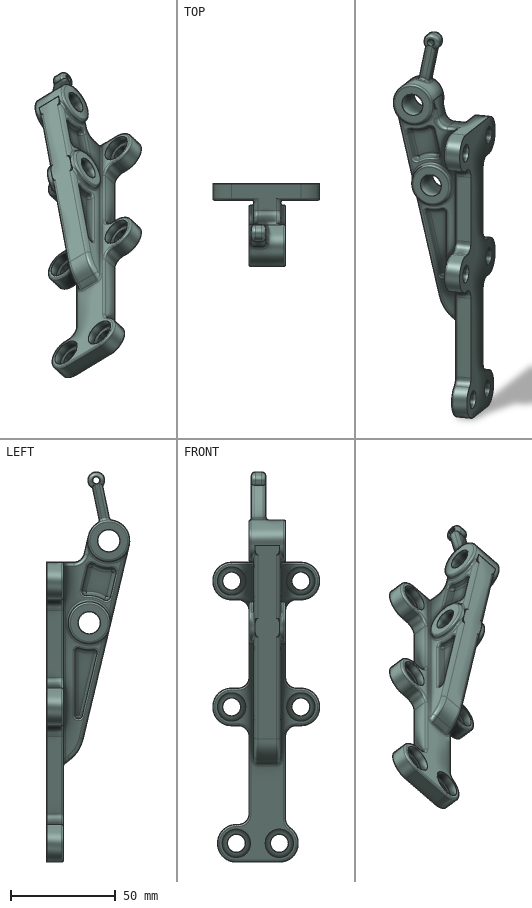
import cadquery as cq
import math

PLATE_THICK = 8.0
PLATE_TOP = 143.0
STRIP_WIDTH = 17.5
AXIS_X = 0.5
LUG_DIA = 18.0
LUG_BLEND = 5.0
PLATE_EDGE_ROUND = 1.0
WIDE_PITCH = 33.0
FOOT_LEFT, FOOT_RIGHT = -14.25, 6.25
FOOT_Z = LUG_DIA / 2
MIDDLE_Z = FOOT_Z + 65.0
UPPER_Z = PLATE_TOP - LUG_DIA / 2
LUG_ROWS = [
    (FOOT_LEFT, FOOT_RIGHT, FOOT_Z),
    (-WIDE_PITCH / 2, WIDE_PITCH / 2, MIDDLE_Z),
    (-WIDE_PITCH / 2, WIDE_PITCH / 2, UPPER_Z),
]
SCREW_DIA = 8.5
SCREW_SEAT_DIA = 13.5
SCREW_SEAT_DEPTH = 4.0

BOSS_R = 10.0
BOSS_WIDTH = 17.5
BOSS_BORE = 10.5
BOSS_ROUND = 1.0
BOSS_ROOT_ROUND = 1.0
HUB_R = BOSS_R + BOSS_ROOT_ROUND
HUB_WIDTH = 12.0
HUB_ROUND = 1.5
BOSS_PITCH = 40.2
LEAN = math.radians(13.4)
TOP_BOSS = (-29.57, 153.2)

RIB_WIDTH = 13.0
RIB_HALF_DEPTH = BOSS_R + 0.01
RIB_EDGE_ROUND = 2.0
RIB_ROOT_ROUND = 1.0
RIB_BACK_BLEND = 5.0
RIB_HEEL_ROUND = 18.0
RIB_HEEL_Z = 52.8
RIB_TOE_Z = 46.4
RIB_ROOT_Y = -PLATE_THICK / 2

POCKET_DEPTH = 3.1
POCKET_HALF_WIDTH = 7.0
POCKET_BOSS_GAP_R = 13.0
POCKET_CORNER = 2.1
POCKET_FLOOR_ROUND = 2.0
POCKET_RIM_ROUND = 0.9
LOWER_POCKET_BACK_Y = -13.4
LOWER_POCKET_BOTTOM_Z = 68.4
LOWER_POCKET_CORNER = 1.5
LOWER_POCKET_FLOOR_ROUND = 1.45

EYE_CENTRE = (-23.6, 182.0)
EYE_R = 4.0
EYE_BORE = 3.3
EYE_ROUND = 2.0
LEVER_WIDTH = 7.0
LEVER_THICK = 5.0
LEVER_ROUND = 1.4
LEVER_ROOT_ROUND = 1.5
LEVER_X = -3.65

TOLERANCE = 0.005


def on_boss_line(across, along):
    """(Y, Z) of a point given across the boss line (front positive) and along it from the low boss."""
    back = along - BOSS_PITCH
    return (
        TOP_BOSS[0] - across * math.cos(LEAN) - back * math.sin(LEAN),
        TOP_BOSS[1] - across * math.sin(LEAN) + back * math.cos(LEAN),
    )


LOW_BOSS = on_boss_line(0, 0)


def front_face_y(z, across):
    """Y at height z on a line parallel to the boss line, at the given distance in front of it."""
    start_y, start_z = on_boss_line(across, 0)
    return start_y - (z - start_z) * math.tan(LEAN)


def side_sketch(x):
    """Work plane across X at the given place; its axes are Y and Z."""
    return cq.Workplane("YZ", origin=(x, 0, 0))


def near(x, y, z):
    return cq.selectors.NearestToPointSelector((x, y, z))


def make_plate():
    front = cq.Workplane("XZ")
    plate = front.center(AXIS_X, PLATE_TOP / 2 + FOOT_Z / 2).rect(STRIP_WIDTH, PLATE_TOP - FOOT_Z)
    plate = plate.extrude(PLATE_THICK)
    for left, right, z in LUG_ROWS:
        lug = front.center((left + right) / 2, z).slot2D(right - left + LUG_DIA, LUG_DIA)
        plate = plate.union(lug.extrude(PLATE_THICK))
    half_strip = STRIP_WIDTH / 2
    lug_r = LUG_DIA / 2
    notches = []
    for side in (-1, 1):
        x = AXIS_X + side * half_strip
        for z in (UPPER_Z - lug_r, MIDDLE_Z + lug_r, MIDDLE_Z - lug_r):
            notches.append((x, z))
    notches.append((AXIS_X - half_strip, FOOT_Z + lug_r))
    foot_rise = math.sqrt(lug_r ** 2 - (AXIS_X + half_strip - FOOT_RIGHT) ** 2)
    notches.append((AXIS_X + half_strip, FOOT_Z + foot_rise))
    for x, z in notches:
        plate = plate.edges("|Y").edges(near(x, -PLATE_THICK / 2, z)).fillet(LUG_BLEND)
    return plate.faces("<Y").edges().fillet(PLATE_EDGE_ROUND)


def make_rib_blank():
    back_top = on_boss_line(-RIB_HALF_DEPTH, BOSS_PITCH)
    front_top = on_boss_line(RIB_HALF_DEPTH, BOSS_PITCH)
    back_corner = (front_face_y(PLATE_TOP, -RIB_HALF_DEPTH), PLATE_TOP)
    heel = (front_face_y(RIB_HEEL_Z, RIB_HALF_DEPTH), RIB_HEEL_Z)
    toe = (-PLATE_THICK, RIB_TOE_Z)
    toe_slope = (heel[1] - toe[1]) / (heel[0] - toe[0])
    root = (RIB_ROOT_Y, toe[1] + toe_slope * (RIB_ROOT_Y - toe[0]))
    outline = [(RIB_ROOT_Y, PLATE_TOP), back_corner, back_top, front_top, heel, root]
    rib = side_sketch(AXIS_X - RIB_WIDTH / 2).polyline(outline).close().extrude(RIB_WIDTH)
    rib = rib.edges("|X").edges(near(AXIS_X, *back_corner)).fillet(RIB_BACK_BLEND)
    rib = rib.edges("|X").edges(near(AXIS_X, *heel)).fillet(RIB_HEEL_ROUND)
    return rib


def round_rib(blank):
    return blank.edges("(<X or >X) and (not >Y)").fillet(RIB_EDGE_ROUND)


def arc_height(across):
    """Height above a boss centre, along the boss line, of the pocket end arc at an across position."""
    return math.sqrt(POCKET_BOSS_GAP_R ** 2 - across ** 2)


def make_pocket(outline, corner, floor_round):
    """Pocket cutter sunk from the -X rib face; its corners and floor are rounded."""
    cutter = outline.close().extrude(POCKET_DEPTH)
    cutter = cutter.edges("|X").fillet(corner)
    return cutter.faces(">X").edges().fillet(floor_round)


def make_upper_pocket():
    half = POCKET_HALF_WIDTH
    rise = arc_height(half)
    outline = (
        side_sketch(AXIS_X - RIB_WIDTH / 2)
        .moveTo(*on_boss_line(-half, rise))
        .threePointArc(on_boss_line(0, POCKET_BOSS_GAP_R), on_boss_line(half, rise))
        .lineTo(*on_boss_line(half, BOSS_PITCH - rise))
        .threePointArc(
            on_boss_line(0, BOSS_PITCH - POCKET_BOSS_GAP_R),
            on_boss_line(-half, BOSS_PITCH - rise),
        )
    )
    return make_pocket(outline, POCKET_CORNER, POCKET_FLOOR_ROUND)


def make_lower_pocket():
    back_y, bottom_z = LOWER_POCKET_BACK_Y, LOWER_POCKET_BOTTOM_Z
    reach = back_y - LOW_BOSS[0]
    back_top = (back_y, LOW_BOSS[1] - arc_height(reach))
    front_top = on_boss_line(POCKET_HALF_WIDTH, -arc_height(POCKET_HALF_WIDTH))
    outline = (
        side_sketch(AXIS_X - RIB_WIDTH / 2)
        .moveTo(*back_top)
        .threePointArc((LOW_BOSS[0], LOW_BOSS[1] - POCKET_BOSS_GAP_R), front_top)
        .lineTo(front_face_y(bottom_z, POCKET_HALF_WIDTH), bottom_z)
        .lineTo(back_y, bottom_z)
    )
    return make_pocket(outline, LOWER_POCKET_CORNER, LOWER_POCKET_FLOOR_ROUND)


def add_pockets(rib):
    middle = (AXIS_X, 0, 0)
    for pocket in (make_upper_pocket(), make_lower_pocket()):
        rib = rib.cut(pocket).cut(pocket.mirror("YZ", middle))
    for side in ("<X", ">X"):
        rims = rib.faces(side).wires().vals()
        rims.sort(key=lambda wire: wire.BoundingBox().DiagonalLength)
        for rim in rims[:-1]:
            rib = rib.newObject(rim.Edges()).fillet(POCKET_RIM_ROUND)
    return rib


def join_rib(plate, rib):
    """Join the rib to the plate and round the corner all along its foot."""
    half = RIB_WIDTH / 2 + TOLERANCE
    foot = cq.selectors.BoxSelector(
        (AXIS_X - half, -PLATE_THICK - TOLERANCE, RIB_TOE_Z - RIB_ROOT_ROUND),
        (AXIS_X + half, -PLATE_THICK + TOLERANCE, PLATE_TOP),
        boundingbox=True,
    )
    return plate.union(rib).edges(foot).fillet(RIB_ROOT_ROUND)


def make_boss(centre):
    boss = side_sketch(AXIS_X - BOSS_WIDTH / 2).center(*centre).circle(BOSS_R).extrude(BOSS_WIDTH)
    return boss.faces("<X or >X").edges().fillet(BOSS_ROUND)


def add_boss(body, centre):
    """Join a boss and round the corners where its barrel meets the rib faces."""
    body = body.union(make_boss(centre))
    corners = []
    for edge in body.edges("%CIRCLE").vals():
        middle = edge.arcCenter()
        on_boss = math.dist((middle.y, middle.z), centre) < TOLERANCE
        on_rib_face = abs(abs(middle.x - AXIS_X) - RIB_WIDTH / 2) < TOLERANCE
        if on_boss and on_rib_face and abs(edge.radius() - BOSS_R) < TOLERANCE:
            corners.append(edge)
    return body.newObject(corners).fillet(BOSS_ROOT_ROUND)


def make_hub(centre, rib_blank):
    """Disc inside the rib that fills out its rounded front edges beside a boss."""
    hub = side_sketch(AXIS_X - HUB_WIDTH / 2).center(*centre).circle(HUB_R).extrude(HUB_WIDTH)
    hub = hub.faces("<X or >X").edges().fillet(HUB_ROUND)
    return hub.intersect(rib_blank)


def make_eye_lever():
    start = LEVER_X - LEVER_WIDTH / 2
    run_y = EYE_CENTRE[0] - TOP_BOSS[0]
    run_z = EYE_CENTRE[1] - TOP_BOSS[1]
    length = math.hypot(run_y, run_z)
    tilt = math.degrees(math.atan2(run_y, run_z))
    lever = (
        cq.Workplane("XY")
        .box(LEVER_WIDTH, LEVER_THICK, length, centered=(True, True, False))
        .edges("|Z")
        .fillet(LEVER_ROUND)
        .rotate((0, 0, 0), (1, 0, 0), -tilt)
        .translate((LEVER_X, *TOP_BOSS))
    )
    eye = side_sketch(start).center(*EYE_CENTRE).circle(EYE_R).extrude(LEVER_WIDTH)
    eye = eye.faces("<X or >X").edges().fillet(EYE_ROUND)
    return lever.union(eye)


def add_eye_lever(body):
    """Join the lever and round the corner where it stands on the top boss."""
    body = body.union(make_eye_lever())
    half = LEVER_WIDTH / 2 + TOLERANCE
    y, z = TOP_BOSS
    root = cq.selectors.BoxSelector(
        (LEVER_X - half, y, z + BOSS_R / 2),
        (LEVER_X + half, y + BOSS_R, z + BOSS_R + TOLERANCE),
        boundingbox=True,
    )
    return body.edges(root).fillet(LEVER_ROOT_ROUND)


def cross_bore(centre, diameter):
    return side_sketch(-WIDE_PITCH).center(*centre).circle(diameter / 2).extrude(2 * WIDE_PITCH)


def cut_screw_holes(body):
    for left, right, z in LUG_ROWS:
        for x in (left, right):
            drill = cq.Workplane("XZ").center(x, z)
            seat = drill.workplane(offset=PLATE_THICK - SCREW_SEAT_DEPTH)
            body = body.cut(drill.circle(SCREW_DIA / 2).extrude(PLATE_THICK))
            body = body.cut(seat.circle(SCREW_SEAT_DIA / 2).extrude(SCREW_SEAT_DEPTH))
    return body


rib_blank = make_rib_blank()
result = join_rib(make_plate(), add_pockets(round_rib(rib_blank)))
for centre in (TOP_BOSS, LOW_BOSS):
    result = add_boss(result, centre)
for centre in (TOP_BOSS, LOW_BOSS):
    result = result.union(make_hub(centre, rib_blank))
result = add_eye_lever(result)
result = cut_screw_holes(result)
for centre, diameter in ((TOP_BOSS, BOSS_BORE), (LOW_BOSS, BOSS_BORE), (EYE_CENTRE, EYE_BORE)):
    result = result.cut(cross_bore(centre, diameter))